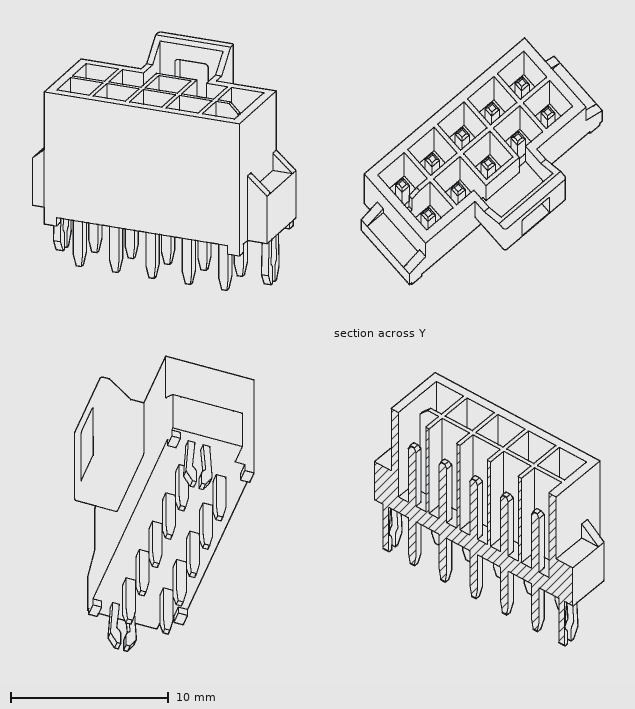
import cadquery as cq


columns = 5
pitch = 2.5
front_row_y = 1.73
rear_row_y = front_row_y + pitch
column_xs = [(i - (columns - 1) / 2) * pitch for i in range(columns)]
row_ys = [front_row_y, rear_row_y]

body_width = 13.45
body_depth = 5.95
body_bottom = 0.58
body_top = 9.07
cell_size = 2.21
cell_wall = pitch - cell_size
cell_floor = 1.94

foot_width = 0.84
front_foot_depth = 0.63
rear_foot_depth = 0.58
rear_foot_outer_x = 7.89

latch_width = 5.17
latch_reach = 2.9
latch_bottom = 4.04
latch_top = 10.5
latch_top_depth = 0.58
latch_ramp = latch_top - body_top
latch_round = 0.2
pocket_width = 4.33
pocket_rear_wall = 0.84
pocket_floor = latch_bottom + (latch_width - pocket_width) / 2
window_width = 2.3
window_top = 9.18
window_round = 0.25

overall_width = 16.16
ear_depth = 4.67
ear_shelf_z = 3.83
ear_rib_top = 5.01
ear_rib_thickness = 0.58

notch_start_x = 4.78
notch_ramp = 0.63
notch_bottom = 5.17

pin_size = 0.65
pin_tip_size = 0.35
pin_bottom = -3.2
pin_bottom_taper = 0.84
pin_top = 6.79
pin_top_taper = 0.32

clip_thickness = 0.48
clip_x = 7.16
clip_y = 3.95

clip_root_inner = 0.27
clip_root_outer = 0.73
clip_root_z = 0.34
clip_bulge_outer = 0.87
clip_bulge_z = -2.28
clip_point_z = -2.4
clip_tip_inner = 0.18
clip_tip_outer = 0.44
clip_waist_start = (0.44, -1.65)
clip_waist_middle = (0.44, -1.75)
clip_waist_end = (0.39, -1.83)
clip_nub_middle = (0.25, -2.0)
clip_nub_end_z = -2.23


def block(x_min, x_max, y_min, y_max, z_min, z_max):
    """Axis-aligned block between the given limits."""
    size = (x_max - x_min, y_max - y_min, z_max - z_min)
    return cq.Workplane("XY").box(*size, centered=False).translate((x_min, y_min, z_min))


def centred_block(width, y_min, y_max, z_min, z_max):
    """Block that is symmetric about X = 0."""
    return block(-width / 2, width / 2, y_min, y_max, z_min, z_max)


def both_sides(right_part):
    """The right-hand part together with its mirror image on the left."""
    return right_part.union(right_part.mirror("YZ"))


def make_latch():
    """Latch housing with rounded outer edges and ramped side walls."""
    rear = body_depth + latch_reach
    latch = centred_block(latch_width, body_depth, rear, latch_bottom, latch_top)
    latch = latch.edges("(|Z and >Y) or (<Z and (not <Y))").fillet(latch_round)
    ramp_top_y = rear - latch_top_depth
    ramp_cut = (
        cq.Workplane("YZ")
        .moveTo(ramp_top_y, latch_top)
        .lineTo(ramp_top_y - latch_ramp, body_top)
        .lineTo(body_depth, body_top)
        .lineTo(body_depth, latch_top)
        .close()
        .extrude(latch_width / 2, both=True)
    )
    return latch.cut(ramp_cut)


def make_pocket():
    """Space for the mating latch, kept clear of the wall around the middle rear cell."""
    rear = body_depth + latch_reach
    cell_rear = rear_row_y + cell_size / 2
    pocket = centred_block(pocket_width, cell_rear, rear - pocket_rear_wall, pocket_floor, latch_top)
    guard_width = cell_size + 2 * cell_wall
    guard = centred_block(guard_width, cell_rear, cell_rear + cell_wall, pocket_floor, body_top)
    window = centred_block(window_width, rear - pocket_rear_wall, rear, pocket_floor, window_top)
    window = window.edges("|Y and >Z").fillet(window_round)
    return pocket.cut(guard).union(window)


def make_ear():
    """Right-hand ear: a shelf between two sloped ribs."""
    inner = body_width / 2
    outer = overall_width / 2
    ear = (
        cq.Workplane("XZ", origin=(0, body_depth, 0))
        .moveTo(inner, body_bottom)
        .lineTo(outer, body_bottom)
        .lineTo(outer, ear_shelf_z)
        .lineTo(inner, ear_rib_top)
        .close()
        .extrude(ear_depth)
    )
    gap_front = body_depth - ear_depth + ear_rib_thickness
    gap_rear = body_depth - ear_rib_thickness
    return ear.cut(block(inner, outer, gap_front, gap_rear, ear_shelf_z, ear_rib_top))


def make_feet():
    """Right-hand feet, at the front corner of the housing and the rear corner of the ear."""
    corner = body_width / 2
    front = block(corner - foot_width, corner, 0, front_foot_depth, 0, body_bottom)
    rear = block(
        rear_foot_outer_x - foot_width, rear_foot_outer_x,
        body_depth - rear_foot_depth, body_depth, 0, body_bottom,
    )
    return front.union(rear)


def make_clip():
    """Right-hand pair of spring legs, bulged outward, with an inner nub near the tip."""
    rear_leg = (
        cq.Workplane("YZ", origin=(clip_x - clip_thickness / 2, 0, 0))
        .moveTo(clip_root_inner, body_bottom)
        .lineTo(clip_root_outer, body_bottom)
        .lineTo(clip_root_outer, clip_root_z)
        .lineTo(clip_bulge_outer, clip_bulge_z)
        .lineTo(clip_bulge_outer, clip_point_z)
        .lineTo(clip_tip_outer, pin_bottom)
        .lineTo(clip_tip_inner, pin_bottom)
        .lineTo(clip_tip_inner, clip_nub_end_z)
        .threePointArc(clip_nub_middle, clip_waist_end)
        .threePointArc(clip_waist_middle, clip_waist_start)
        .close()
        .extrude(clip_thickness)
    )
    return rear_leg.union(rear_leg.mirror("XZ")).translate((0, clip_y, 0))


def make_pin():
    """Square contact, tapered at both ends."""
    shank_bottom = pin_bottom + pin_bottom_taper
    shank_top = pin_top - pin_top_taper
    half = pin_size / 2
    shank = block(-half, half, -half, half, shank_bottom, shank_top)
    for start, end in ((shank_bottom, pin_bottom), (shank_top, pin_top)):
        tip = (
            cq.Workplane("XY", origin=(0, 0, start))
            .rect(pin_size, pin_size)
            .workplane(offset=end - start)
            .rect(pin_tip_size, pin_tip_size)
            .loft()
        )
        shank = shank.union(tip)
    return shank


def make_key_notch():
    """Opening in the last column's dividing wall, with a ramp at the top."""
    wall_front = front_row_y + cell_size / 2
    notch_end_x = column_xs[-1] + cell_size / 2
    return (
        cq.Workplane("XZ", origin=(0, wall_front + cell_wall, 0))
        .moveTo(notch_start_x, body_top)
        .lineTo(notch_start_x + notch_ramp, body_top - notch_ramp)
        .lineTo(notch_start_x + notch_ramp, notch_bottom)
        .lineTo(notch_end_x, notch_bottom)
        .lineTo(notch_end_x, body_top)
        .close()
        .extrude(cell_wall)
    )


housing = centred_block(body_width, 0, body_depth, body_bottom, body_top)
housing = housing.union(make_latch()).cut(make_pocket())
housing = housing.union(both_sides(make_ear().union(make_feet())))

contact_points = [(x, y) for x in column_xs for y in row_ys]
cells = (
    cq.Workplane("XY", origin=(0, 0, cell_floor))
    .pushPoints(contact_points)
    .rect(cell_size, cell_size)
    .extrude(body_top - cell_floor)
)
housing = housing.cut(cells).cut(make_key_notch())

result = housing.union(both_sides(make_clip()))
pin = make_pin()
for x, y in contact_points:
    result = result.union(pin.translate((x, y, 0)))